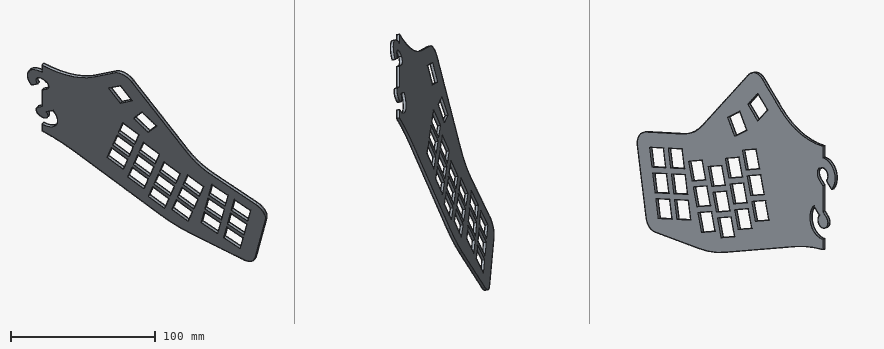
import cadquery as cq
import math


thickness = 2.2

seam_half = 37.2
joint_height = 16.7
hook_outer_radius = 12.3
neck_radius = 5.0
joint_clearance = 0.5
socket_radius = hook_outer_radius + joint_clearance
neck_hole_radius = neck_radius + joint_clearance
joint_angle = 45

upper_seam_corner = (25.3, seam_half)
peak_rise = 42.5
peak_corner = (upper_seam_corner[0] + peak_rise, upper_seam_corner[1] + peak_rise)
valley_drop = 61.7
valley_corner = (peak_corner[0] + valley_drop, peak_corner[1] - valley_drop)
upper_right_corner = (188.2, 8.0)
lower_right_corner = (176.2, -59.9)
belly_corner = (111.2, -63.5)
lower_seam_corner = (14.1, -seam_half)
corner_radius = 10.0
valley_radius = 39.8
belly_radius = 79.5

key_size = 14.0
row_pitch = 18.1
column_pitch = 19.0
column_stagger = 4.8
row_count = 3
main_tilt = -15
main_origin = (72.2, 12.3)
main_column_offsets = [0, -column_stagger, -2 * column_stagger, -column_stagger]
outer_tilt = -10
outer_origin = (147.2, -2.8)
outer_column_offsets = [0, 0]
thumb_keys = [((65.5, 51.5), -45), ((86.1, 35.2), -30)]


def polar(centre, radius, angle):
    """Point at the given radius and angle (degrees) from a centre."""
    a = math.radians(angle)
    return (centre[0] + radius * math.cos(a), centre[1] + radius * math.sin(a))


def arc_around(path, centre, radius, start_angle, end_angle):
    """Continue a path along a circle from its current point at start_angle."""
    middle = polar(centre, radius, (start_angle + end_angle) / 2)
    return path.threePointArc(middle, polar(centre, radius, end_angle))


def direction(start, end):
    """Angle in degrees of the line from start to end."""
    return math.degrees(math.atan2(end[1] - start[1], end[0] - start[0]))


def corner_arc(before, corner, after, radius):
    """Start, middle and end of the tangent arc that rounds a corner."""
    to_before = direction(corner, before)
    to_after = direction(corner, after)
    opening = (to_after - to_before + 180) % 360 - 180
    half_opening = math.radians(abs(opening) / 2)
    tangent_length = radius / math.tan(half_opening)
    centre_distance = radius / math.sin(half_opening)
    start = polar(corner, tangent_length, to_before)
    middle = polar(corner, centre_distance - radius, to_before + opening / 2)
    end = polar(corner, tangent_length, to_after)
    return start, middle, end


def seam_blend_radius(corner, neighbour):
    """Radius that makes a corner's rounding begin exactly at the seam."""
    turn = math.radians(abs(direction(corner, neighbour)))
    return corner[0] / math.tan(turn / 2)


def draw_outer_edge(path):
    """Go clockwise from the top of the seam to its bottom."""
    seam_top = (0, seam_half)
    seam_bottom = (0, -seam_half)
    rounded_corners = [
        (upper_seam_corner, seam_blend_radius(upper_seam_corner, peak_corner)),
        (peak_corner, corner_radius),
        (valley_corner, valley_radius),
        (upper_right_corner, corner_radius),
        (lower_right_corner, corner_radius),
        (belly_corner, belly_radius),
        (lower_seam_corner, seam_blend_radius(lower_seam_corner, belly_corner)),
    ]
    points = [seam_top] + [corner for corner, radius in rounded_corners] + [seam_bottom]
    for i, (corner, radius) in enumerate(rounded_corners):
        start, middle, end = corner_arc(points[i], corner, points[i + 2], radius)
        if i > 0:
            path = path.lineTo(*start)
        path = path.threePointArc(middle, end)
    return path


def draw_seam(path):
    """Go up the seam from its bottom, around the socket and the hook."""
    socket = (0, -joint_height)
    hook = (0, joint_height)
    path = path.lineTo(*polar(socket, socket_radius, -90))
    path = arc_around(path, socket, socket_radius, -90, joint_angle)
    path = path.lineTo(*polar(socket, neck_radius, joint_angle))
    path = arc_around(path, socket, neck_radius, joint_angle, joint_angle - 270)
    path = path.lineTo(0, socket[1] + neck_radius / math.sin(math.radians(joint_angle)))
    path = path.lineTo(0, hook[1] - neck_hole_radius / math.sin(math.radians(joint_angle)))
    path = path.lineTo(*polar(hook, neck_hole_radius, -joint_angle))
    path = arc_around(path, hook, neck_hole_radius, -joint_angle, joint_angle)
    path = path.lineTo(*polar(hook, neck_radius, joint_angle))
    path = arc_around(path, hook, neck_radius, joint_angle, joint_angle + 180)
    path = path.lineTo(*polar(hook, hook_outer_radius, joint_angle + 180))
    path = arc_around(path, hook, hook_outer_radius, joint_angle + 180, 90)
    return path.close()


def key_opening(centre, tilt):
    """Cutter for one square key opening."""
    square = cq.Workplane("XZ").center(*centre).transformed(rotate=(0, 0, tilt))
    return square.rect(key_size, key_size).extrude(thickness)


def key_block(origin, tilt, column_offsets):
    """Centres and tilt of the keys in a tilted block of staggered columns."""
    keys = []
    for column, offset in enumerate(column_offsets):
        column_top = polar(origin, column * column_pitch, tilt)
        column_top = polar(column_top, offset, tilt + 90)
        for row in range(row_count):
            keys.append((polar(column_top, row * row_pitch, tilt - 90), tilt))
    return keys


outline = cq.Workplane("XZ").moveTo(0, seam_half)
outline = draw_outer_edge(outline)
outline = draw_seam(outline)
result = outline.extrude(thickness)

all_keys = (
    thumb_keys
    + key_block(main_origin, main_tilt, main_column_offsets)
    + key_block(outer_origin, outer_tilt, outer_column_offsets)
)
for key_centre, key_tilt in all_keys:
    result = result.cut(key_opening(key_centre, key_tilt))